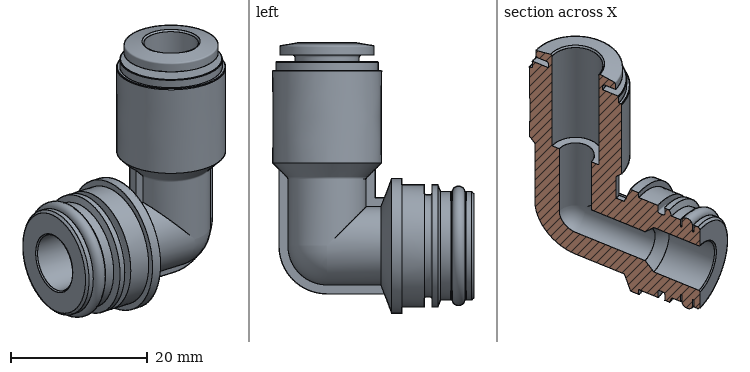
import math

import cadquery as cq

tube_radius = 5.77
bore_radius = 2.75
rib_thickness = 1.5
rib_reach = 7.05

body_top_radius = 8.0
body_base_radius = 7.98
body_base_z = 12.12
body_top_z = 25.65
body_edge_chamfer = 0.12
neck_fillet = 0.5

cartridge_radius = 7.5
cartridge_top_z = 26.92
cartridge_chamfer = 0.1
sleeve_radius = 4.7
collar_radius = 6.9
collar_base_z = 27.9
collar_rim_z = 29.3
collar_top_z = 29.705
collar_rim_fillet = 0.25
sleeve_fillet = 0.4
hose_socket_radius = 4.0
hose_socket_mouth_radius = 4.25
hose_socket_chamfer = hose_socket_mouth_radius - hose_socket_radius

flange_cone_start = 7.87
flange_start = 9.45
flange_end = 10.93
flange_radius = 9.875
land_radius = 8.95
first_land_end = 14.22
second_land_start = 15.33
second_land_end = 16.2
clip_groove_radius = 7.5
clip_groove_fillet = 0.25
nose_radius = 7.95
land_taper_end = 16.6
seal_groove_start = 18.1
seal_groove_end = 20.35
seal_groove_radius = 6.6
seal_outer_radius = 8.75
seal_section_radius = 0.95
spigot_end = 21.5
nose_chamfer = 0.37
spigot_bore_radius = 4.25
spigot_bore_depth = 8.0
spigot_mouth_chamfer = 0.2


def arc_middle(center, radius, angle_degrees):
    """Point on a circle, used as the middle point of an arc."""
    angle = math.radians(angle_degrees)
    return (center[0] + radius * math.cos(angle), center[1] + radius * math.sin(angle))


def revolve_profile(profile):
    """Close a (radius, distance) profile and turn it about the Z axis."""
    return profile.close().revolve(360, (0, 0, 0), (0, 1, 0))


def lay_along_spigot(solid):
    """Turn a solid built along +Z so that it points along -Y."""
    return solid.rotate((0, 0, 0), (1, 0, 0), 90)


def make_elbow(radius, vertical_length, horizontal_length):
    """Two round legs joined by a sphere at the corner."""
    vertical = cq.Workplane("XY").circle(radius).extrude(vertical_length)
    horizontal = lay_along_spigot(cq.Workplane("XY").circle(radius).extrude(horizontal_length))
    return cq.Workplane("XY").sphere(radius).union(vertical).union(horizontal)


def make_rib():
    """Flat web in the YZ plane that follows both legs of the elbow."""
    rib_corner = arc_middle((0, 0), rib_reach, -45)
    return (
        cq.Workplane("YZ")
        .moveTo(rib_reach, body_base_z)
        .lineTo(rib_reach, 0)
        .threePointArc(rib_corner, (0, -rib_reach))
        .lineTo(-flange_start, -rib_reach)
        .lineTo(-flange_start, rib_reach)
        .lineTo(-rib_reach, rib_reach)
        .lineTo(-rib_reach, body_base_z)
        .close()
        .extrude(rib_thickness / 2, both=True)
    )


def make_socket_body():
    """Drafted body with cartridge, sleeve and release collar, turned about Z."""
    shoulder_corner_z = body_base_z - (body_base_radius - tube_radius)
    tangent_length = neck_fillet * math.tan(math.radians(22.5))
    tangent_diagonal = tangent_length * math.cos(math.radians(45))
    neck_start = (tube_radius, shoulder_corner_z - tangent_length)
    neck_end = (tube_radius + tangent_diagonal, shoulder_corner_z + tangent_diagonal)
    neck_center = (tube_radius + neck_fillet, neck_start[1])
    neck_middle = arc_middle(neck_center, neck_fillet, 157.5)

    sleeve_center = (sleeve_radius + sleeve_fillet, collar_base_z - sleeve_fillet)
    rim_center = (collar_radius - collar_rim_fillet, collar_rim_z - collar_rim_fillet)
    profile = (
        cq.Workplane("XZ")
        .moveTo(0, neck_start[1])
        .lineTo(*neck_start)
        .threePointArc(neck_middle, neck_end)
        .lineTo(body_base_radius, body_base_z)
        .lineTo(body_top_radius, body_top_z - body_edge_chamfer)
        .lineTo(body_top_radius - body_edge_chamfer, body_top_z)
        .lineTo(cartridge_radius, body_top_z)
        .lineTo(cartridge_radius, cartridge_top_z - cartridge_chamfer)
        .lineTo(cartridge_radius - cartridge_chamfer, cartridge_top_z)
        .lineTo(sleeve_radius, cartridge_top_z)
        .lineTo(sleeve_radius, sleeve_center[1])
        .threePointArc(arc_middle(sleeve_center, sleeve_fillet, 135), (sleeve_center[0], collar_base_z))
        .lineTo(collar_radius, collar_base_z)
        .lineTo(collar_radius, rim_center[1])
        .threePointArc(arc_middle(rim_center, collar_rim_fillet, 45), (rim_center[0], collar_rim_z))
        .lineTo(hose_socket_mouth_radius, collar_top_z)
        .lineTo(0, collar_top_z)
    )
    return revolve_profile(profile)


def make_spigot():
    """Flange, clip groove and seal ring, turned about the horizontal axis."""
    near_center = (clip_groove_radius + clip_groove_fillet, first_land_end + clip_groove_fillet)
    far_center = (clip_groove_radius + clip_groove_fillet, second_land_start - clip_groove_fillet)
    seal_middle = (seal_groove_start + seal_groove_end) / 2
    seal_near = seal_middle - seal_section_radius
    seal_far = seal_middle + seal_section_radius
    seal_center_radius = seal_outer_radius - seal_section_radius
    profile = (
        cq.Workplane("XZ")
        .moveTo(0, flange_cone_start)
        .lineTo(tube_radius, flange_cone_start)
        .lineTo(flange_radius, flange_start)
        .lineTo(flange_radius, flange_end)
        .lineTo(land_radius, flange_end)
        .lineTo(land_radius, first_land_end)
        .lineTo(near_center[0], first_land_end)
        .threePointArc(
            arc_middle(near_center, clip_groove_fillet, 225), (clip_groove_radius, near_center[1])
        )
        .lineTo(clip_groove_radius, far_center[1])
        .threePointArc(
            arc_middle(far_center, clip_groove_fillet, 135), (far_center[0], second_land_start)
        )
        .lineTo(land_radius, second_land_start)
        .lineTo(land_radius, second_land_end)
        .lineTo(nose_radius, land_taper_end)
        .lineTo(nose_radius, seal_groove_start)
        .lineTo(seal_groove_radius, seal_groove_start)
        .lineTo(seal_groove_radius, seal_near)
        .lineTo(seal_center_radius, seal_near)
        .threePointArc((seal_outer_radius, seal_middle), (seal_center_radius, seal_far))
        .lineTo(seal_groove_radius, seal_far)
        .lineTo(seal_groove_radius, seal_groove_end)
        .lineTo(nose_radius, seal_groove_end)
        .lineTo(nose_radius, spigot_end - nose_chamfer)
        .lineTo(nose_radius - nose_chamfer, spigot_end)
        .lineTo(0, spigot_end)
    )
    return lay_along_spigot(revolve_profile(profile))


def make_hose_socket():
    """Flat-bottomed socket from the collar down to the body shoulder."""
    profile = (
        cq.Workplane("XZ")
        .moveTo(0, body_base_z)
        .lineTo(hose_socket_radius, body_base_z)
        .lineTo(hose_socket_radius, collar_top_z - hose_socket_chamfer)
        .lineTo(hose_socket_mouth_radius, collar_top_z)
        .lineTo(0, collar_top_z)
    )
    return revolve_profile(profile)


def make_spigot_bore():
    """Chamfered bore narrowing through a 45 degree cone to the elbow bore."""
    cone_large_end = spigot_end - spigot_bore_depth
    cone_small_end = cone_large_end - (spigot_bore_radius - bore_radius)
    profile = (
        cq.Workplane("XZ")
        .moveTo(0, cone_small_end)
        .lineTo(bore_radius, cone_small_end)
        .lineTo(spigot_bore_radius, cone_large_end)
        .lineTo(spigot_bore_radius, spigot_end - spigot_mouth_chamfer)
        .lineTo(spigot_bore_radius + spigot_mouth_chamfer, spigot_end)
        .lineTo(0, spigot_end)
    )
    return lay_along_spigot(revolve_profile(profile))


outer_shape = (
    make_elbow(tube_radius, body_base_z, flange_start)
    .union(make_rib())
    .union(make_socket_body())
    .union(make_spigot())
)
result = (
    outer_shape
    .cut(make_elbow(bore_radius, collar_top_z, spigot_end))
    .cut(make_hose_socket())
    .cut(make_spigot_bore())
)